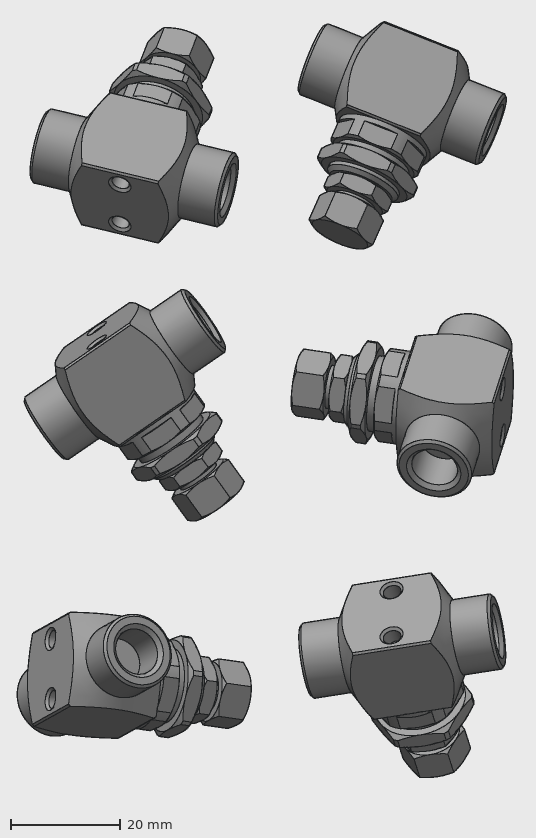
import cadquery as cq
import math

BODY_LENGTH = 21.0
BODY_WIDTH = 18.0
EDGE_CHAMFER = 0.37
END_CONE_ANGLE = 60.0

OVERALL_LENGTH = 36.0
PORT_DIAMETER = 14.0
PORT_CHAMFER = 0.5
BORE_DIAMETER = 8.6
BORE_DEPTH = 8.0
BORE_MOUTH_DIAMETER = 10.2

MOUNT_DIAMETER = 3.3
MOUNT_MOUTH_DIAMETER = 4.3
MOUNT_SPACING = 11.5
MOUNT_DEPTH = 6.5
DRILL_POINT_ANGLE = 118.0

COLLAR_DIAMETER = 17.3
COLLAR_LENGTH = 1.0
BONNET_FLATS = 16.0
BONNET_LENGTH = 3.5
THREAD_DIAMETER = 14.0
THREAD_LENGTH = 6.0
THREAD_CHAMFER = 0.8
PANEL_NUT_FLATS = 17.0
PANEL_NUT_CORNERS = 19.1
PANEL_NUT_LENGTH = 3.0
PANEL_NUT_GAP = 1.5
SMALL_HEX_FLATS = 11.0
LOCK_NUT_LENGTH = 3.0
SPINDLE_DIAMETER = 8.0
SPINDLE_LENGTH = 1.0
KNOB_LENGTH = 6.0
HEX_CHAMFER_ANGLE = 30.0

HALF_WIDTH = BODY_WIDTH / 2


def across_corners(flats):
    """Diameter over the sharp corners of a hexagon, from its width across flats."""
    return flats / math.cos(math.pi / 6)


def cylinder_y(diameter, start, length):
    """Round bar along +Y starting at Y = start."""
    plane = cq.Workplane("XZ", origin=(0, start, 0))
    return plane.circle(diameter / 2).extrude(-length)


def cylinder_x(diameter, length):
    """Round bar along X, centred on the origin."""
    return cq.Workplane("YZ").circle(diameter / 2).extrude(length / 2, both=True)


def hexagon(flats, corners, start, length, chamfer_near=True):
    """Hexagon along +Y with flats facing +/-Z, corners turned round and chamfered."""
    plane = cq.Workplane("XZ", origin=(0, start, 0))
    prism = plane.polygon(6, across_corners(flats)).extrude(-length)
    face_radius = flats / 2
    corner_radius = corners / 2
    chamfer = (corner_radius - face_radius) * math.tan(math.radians(HEX_CHAMFER_ANGLE))
    end = start + length
    profile = cq.Workplane("XY").moveTo(0, start)
    if chamfer_near:
        profile = profile.lineTo(face_radius, start).lineTo(corner_radius, start + chamfer)
    else:
        profile = profile.lineTo(corner_radius, start)
    profile = profile.lineTo(corner_radius, end - chamfer).lineTo(face_radius, end).lineTo(0, end)
    envelope = profile.close().revolve(360, (0, 0, 0), (0, 1, 0))
    return prism.intersect(envelope)


def make_body():
    """Square block whose ends taper down to the port diameter."""
    block = cq.Workplane("XY").box(BODY_LENGTH, BODY_WIDTH, BODY_WIDTH)
    block = block.edges("|X").chamfer(EDGE_CHAMFER)
    half_length = BODY_LENGTH / 2
    port_radius = PORT_DIAMETER / 2
    clear_radius = BODY_WIDTH
    taper = (clear_radius - port_radius) / math.tan(math.radians(END_CONE_ANGLE))
    envelope = (
        cq.Workplane("XY")
        .moveTo(-half_length, 0)
        .lineTo(-half_length, port_radius)
        .lineTo(-half_length + taper, clear_radius)
        .lineTo(half_length - taper, clear_radius)
        .lineTo(half_length, port_radius)
        .lineTo(half_length, 0)
        .close()
        .revolve(360, (0, 0, 0), (1, 0, 0))
    )
    return block.intersect(envelope)


def make_port_core():
    """Round bar through the body that carries both ports."""
    return cylinder_x(PORT_DIAMETER, OVERALL_LENGTH).faces("<X or >X").edges().chamfer(PORT_CHAMFER)


def port_bore(side):
    """Blind port bore with a 45 degree mouth; side is -1 or +1 along X."""
    end = side * OVERALL_LENGTH / 2
    floor = end - side * BORE_DEPTH
    bore_radius = BORE_DIAMETER / 2
    mouth_radius = BORE_MOUTH_DIAMETER / 2
    mouth_end = end - side * (mouth_radius - bore_radius)
    return (
        cq.Workplane("XY")
        .moveTo(floor, 0)
        .lineTo(floor, bore_radius)
        .lineTo(mouth_end, bore_radius)
        .lineTo(end, mouth_radius)
        .lineTo(end, 0)
        .close()
        .revolve(360, (0, 0, 0), (1, 0, 0))
    )


def mount_hole(height):
    """Drilled and countersunk hole in the -Y face that leaves the port core intact."""
    radius = MOUNT_DIAMETER / 2
    mouth_radius = MOUNT_MOUTH_DIAMETER / 2
    point = radius / math.tan(math.radians(DRILL_POINT_ANGLE / 2))
    face = -HALF_WIDTH
    drill = (
        cq.Workplane("XY")
        .moveTo(0, face)
        .lineTo(mouth_radius, face)
        .lineTo(radius, face + mouth_radius - radius)
        .lineTo(radius, face + MOUNT_DEPTH)
        .lineTo(0, face + MOUNT_DEPTH + point)
        .close()
        .revolve(360, (0, 0, 0), (0, 1, 0))
        .translate((0, 0, height))
    )
    return drill.cut(cylinder_x(PORT_DIAMETER, OVERALL_LENGTH))


def make_stem():
    """Collar, bonnet hexagon, threaded neck, two nuts and the knob, stacked along +Y."""
    bonnet_start = HALF_WIDTH + COLLAR_LENGTH
    thread_start = bonnet_start + BONNET_LENGTH
    panel_nut_start = thread_start + PANEL_NUT_GAP
    lock_nut_start = thread_start + THREAD_LENGTH
    spindle_start = lock_nut_start + LOCK_NUT_LENGTH
    knob_start = spindle_start + SPINDLE_LENGTH
    small_corners = across_corners(SMALL_HEX_FLATS)

    collar = cylinder_y(COLLAR_DIAMETER, HALF_WIDTH, COLLAR_LENGTH)
    bonnet = hexagon(BONNET_FLATS, COLLAR_DIAMETER, bonnet_start, BONNET_LENGTH, chamfer_near=False)
    thread = cylinder_y(THREAD_DIAMETER, thread_start, THREAD_LENGTH)
    thread = thread.faces(">Y").edges().chamfer(THREAD_CHAMFER)
    panel_nut = hexagon(PANEL_NUT_FLATS, PANEL_NUT_CORNERS, panel_nut_start, PANEL_NUT_LENGTH)
    lock_nut = hexagon(SMALL_HEX_FLATS, small_corners, lock_nut_start, LOCK_NUT_LENGTH)
    spindle = cylinder_y(SPINDLE_DIAMETER, spindle_start, SPINDLE_LENGTH)
    knob = hexagon(SMALL_HEX_FLATS, small_corners, knob_start, KNOB_LENGTH)

    stem = collar
    for section in (bonnet, thread, panel_nut, lock_nut, spindle, knob):
        stem = stem.union(section)
    return stem


result = make_body().union(make_port_core()).union(make_stem())
for side in (-1, 1):
    result = result.cut(port_bore(side))
    result = result.cut(mount_hole(side * MOUNT_SPACING / 2))